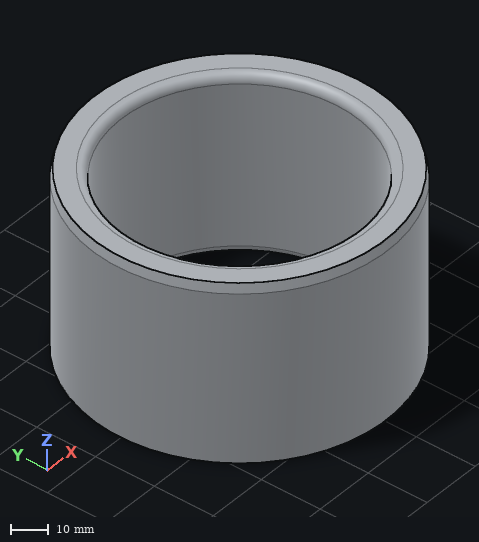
import cadquery as cq
import math

outer_diameter = 100.0
bore_diameter = 80.0
height = 60.0

taper_height = 3.0
taper_angle = 15.0
taper_width = taper_height * math.tan(math.radians(taper_angle))

bottom_chamfer = 0.5
bore_round = 3.0

outer_radius = outer_diameter / 2
bore_radius = bore_diameter / 2


def bushing_profile():
    """Half section of the wall in the XZ plane, right of the axis."""
    round_offset = bore_round * (1 - math.sqrt(0.5))
    return (
        cq.Workplane("XZ")
        .moveTo(bore_radius + bore_round, 0)
        .lineTo(outer_radius - bottom_chamfer, 0)
        .lineTo(outer_radius, bottom_chamfer)
        .lineTo(outer_radius, height - taper_height)
        .lineTo(outer_radius - taper_width, height)
        .lineTo(bore_radius + bore_round, height)
        .threePointArc(
            (bore_radius + round_offset, height - round_offset),
            (bore_radius, height - bore_round),
        )
        .lineTo(bore_radius, bore_round)
        .threePointArc(
            (bore_radius + round_offset, round_offset),
            (bore_radius + bore_round, 0),
        )
        .close()
    )


result = bushing_profile().revolve(360, (0, 0, 0), (0, 1, 0))